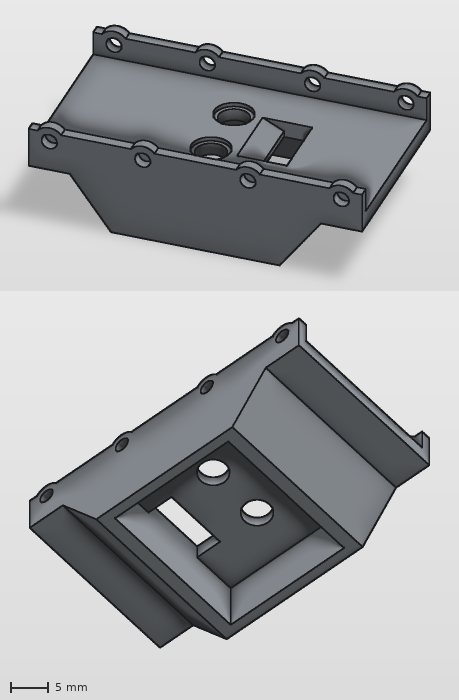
import cadquery as cq

length = 47.52
width = 26.8
plate_thickness = 2.4

housing_height = 8.0
housing_top_length = 35.8
housing_bottom_length = 24.0
cavity_length = 20.0

wall_thickness = 1.5
wall_height = 3.5
boss_x_positions = (-20.8, -7.5, 7.5, 20.8)
boss_radius = 2.19
cross_hole_diameter = 2.2
cross_hole_height = 2.1

round_hole_x = -1.0
round_hole_spacing = 9.0
bore_diameter = 4.37
counterbore_diameter = 5.6
counterbore_depth = 0.6

window_right = cavity_length / 2
window_width = 10.0
window_left = 5.95
ramp_length = 3.05
ramp_drop = 1.5

floor_z = housing_height + plate_thickness
cross_hole_z = floor_z + cross_hole_height


def make_plate():
    plate = cq.Workplane("XY").box(length, width, plate_thickness, centered=(True, True, False))
    return plate.translate((0, 0, housing_height))


def make_housing():
    outline = [
        (-housing_bottom_length / 2, 0),
        (housing_bottom_length / 2, 0),
        (housing_top_length / 2, housing_height),
        (-housing_top_length / 2, housing_height),
    ]
    body = cq.Workplane("XZ").polyline(outline).close().extrude(width / 2, both=True)
    cavity_width = width - 2 * wall_thickness
    cavity = cq.Workplane("XY").box(
        cavity_length, cavity_width, housing_height, centered=(True, True, False)
    )
    return body.cut(cavity)


def make_side_wall(inner_face_y):
    """Wall from inner_face_y to inner_face_y + wall_thickness, with bosses and cross holes."""
    wall = cq.Workplane("XY").box(length, wall_thickness, wall_height, centered=(True, False, False))
    wall = wall.translate((0, 0, floor_z))
    centers = [(x, cross_hole_z) for x in boss_x_positions]
    bosses = cq.Workplane("XZ").pushPoints(centers).circle(boss_radius).extrude(-wall_thickness)
    holes = cq.Workplane("XZ").pushPoints(centers).circle(cross_hole_diameter / 2).extrude(-wall_thickness)
    return wall.union(bosses).cut(holes).translate((0, inner_face_y, 0))


def cut_round_holes(part):
    centers = [(round_hole_x, side * round_hole_spacing / 2) for side in (-1, 1)]
    return (
        part.copyWorkplane(cq.Workplane("XY", origin=(0, 0, floor_z)))
        .pushPoints(centers)
        .cboreHole(bore_diameter, counterbore_diameter, counterbore_depth, plate_thickness)
    )


def cut_window(part):
    outline = [
        (window_left - ramp_length, floor_z),
        (window_left, floor_z - ramp_drop),
        (window_left, housing_height),
        (window_right, housing_height),
        (window_right, floor_z),
    ]
    window = cq.Workplane("XZ").polyline(outline).close().extrude(window_width / 2, both=True)
    return part.cut(window)


base = make_plate().union(make_housing())
base = cut_window(cut_round_holes(base))
back_wall = make_side_wall(width / 2 - wall_thickness)
front_wall = make_side_wall(-width / 2)
result = base.union(back_wall).union(front_wall)